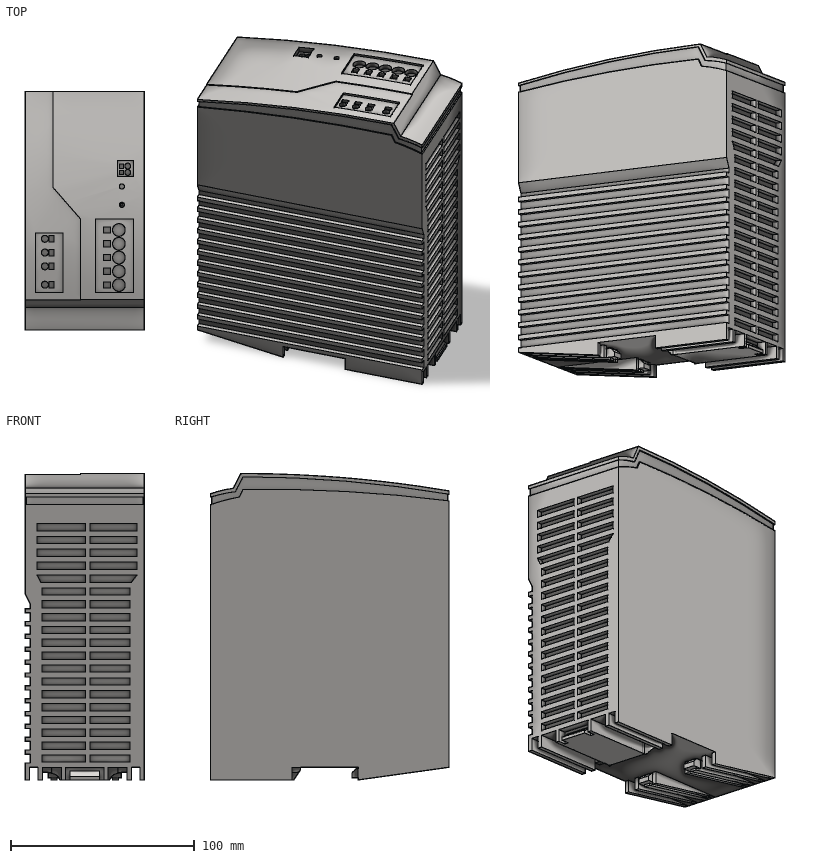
import cadquery as cq

width = 65.0
depth = 130.0
height = 167.0
front_y = -depth / 2
back_y = depth / 2
mid_x = width / 2
clearance = 10.0

crest_y = -48.4
crest_z = height
crown_back_z = 157.5
brow_y = -52.6
brow_z = 158.9
brow_front_z = 155.9
brow_bulge = 0.35
lid_middle_drop = 0.25

lid_thickness = 1.9
lid_inner_shift = 1.2
groove_inset = 0.7
case_crest_y = -47.2
case_crest_z = 158.3
case_back_z = 152.0
case_brow_y = -49.2
case_brow_z = 154.1
case_front_z = 149.9
case_middle_drop = 0.19

panel_drop = 0.5
panel_back_x = 15.1
panel_front_x = 30.1
panel_bend_back_y = 12.8
panel_bend_front_y = -4.4

fin_depth = 2.7
fin_count = 12
fin_pitch = 7.0
fin_thickness = 2.4
fin_base_z = 9.4
fin_zone_top_z = 96.0
fin_bevel_top_z = 101.4

vent_rows = 19
vent_wide_rows = 4
vent_pitch = 7.0
vent_height = 4.0
vent_bottom_z = 9.7
vent_depth = 3.5
vent_inner_left_x = 32.8
vent_inner_right_x = 35.3
vent_wide_left_x = 6.5
vent_wide_right_x = 61.0
vent_narrow_left_x = 9.3
vent_narrow_right_x = 57.2
vent_taper_left_x = 8.6
vent_taper_right_x = 57.9

foot_height = 6.9
rail_front_y = -20.5
rail_back_y = 15.4
foot_ribs = [(0.0, 2.5), (7.0, 9.5), (19.8, 22.0)]
second_rib_right_x = foot_ribs[1][1]
middle_rib_left_x, middle_rib_right_x = foot_ribs[2]
rear_rib = (14.0, 17.4)

rear_hook_left_x = 12.6
front_hook_left_x = 14.4
hook_right_x = middle_rib_left_x
front_hook_tip_y = -15.9
front_hook_tip_z = 5.6
front_hook_toe_y = -19.6
front_hook_face_y = -17.3
hook_fillet = 5.0
hook_plate_z = 4.2
rear_hook_tip_y = 12.1
rear_hook_bottom_z = 1.2
rear_hook_top_z = 6.2
rear_hook_chamfer = 2.3

tongue_left_x = 24.4
tongue_right_x = width - tongue_left_x
tongue_tip_z = 1.9
tongue_top_z = 5.0
tongue_bay_depth = 5.0
tongue_lip = 0.9
tongue_ramp = 3.6

terminal_front_y = -44.6
terminal_sink = 1.1
terminal_hole_depth = 2.5
output_block_x = (38.4, 59.1)
output_block_back_y = -4.6
output_first_y = -10.5
output_pitch = 7.5
output_count = 5
output_rows_y = [output_first_y - row * output_pitch for row in range(output_count)]
output_screw_x = 51.1
output_screw_diameter = 6.9
output_wire_x = 44.55
output_wire_size = (3.7, 3.4)
input_block_x = (5.6, 20.6)
input_block_back_y = -12.1
input_rows_y = [-15.3, -22.8, -30.3, -40.3]
input_screw_x = 10.8
input_screw_diameter = 3.8
input_wire_x = 14.4
input_wire_size = (2.6, 3.6)

signal_x = (50.2, 59.1)
signal_y = (18.7, 27.2)
signal_sink = 3.0
signal_rows_y = [20.8, 24.3]
signal_screw_x = 55.9
signal_screw_diameter = 3.2
signal_wire_x = 52.4
signal_wire_size = (2.2, 2.4)
dot_x = 52.7
dot_diameter = 2.8
dot_depth = 1.5
indicator_y = 13.2
trimmer_y = 3.2
trimmer_screw_diameter = 1.4
trimmer_screw_depth = 3.0


def box(x_range, y_range, z_range):
    size = [high - low for low, high in (x_range, y_range, z_range)]
    return cq.Workplane("XY").box(*size, centered=False).translate((x_range[0], y_range[0], z_range[0]))


def extrude_along_x(outline, x_range):
    """Move a closed YZ outline to the first X and extrude it to the second."""
    return outline.extrude(x_range[1] - x_range[0]).translate((x_range[0], 0, 0))


def yz_polygon(points, x_range):
    return extrude_along_x(cq.Workplane("YZ").polyline(points).close(), x_range)


def crown_middle(back, crest, middle_drop):
    """Middle point of a shallow arc, given its share of the fall from crest to back."""
    return ((back[0] + crest[0]) / 2, crest[1] - (crest[1] - back[1]) * middle_drop)


def under_crown(crest, back_z, brow, front_z, middle_drop):
    """Block from Z = foot_height up to a crowned top, over the whole footprint."""
    back = (back_y, back_z)
    front = (front_y, front_z)
    brow_middle = ((brow[0] + front_y) / 2, (brow[1] + front_z) / 2 + brow_bulge)
    outline = (
        cq.Workplane("YZ")
        .moveTo(front_y, foot_height)
        .lineTo(back_y, foot_height)
        .lineTo(*back)
        .threePointArc(crown_middle(back, crest, middle_drop), crest)
        .lineTo(*brow)
        .threePointArc(brow_middle, front)
        .close()
    )
    return extrude_along_x(outline, (0, width))


def above_crown(sink):
    """Space above the crown arc lowered by sink, level in front of the crest."""
    crest = (crest_y, crest_z - sink)
    back = (back_y, crown_back_z - sink)
    ceiling = crest_z + clearance
    outline = (
        cq.Workplane("YZ")
        .moveTo(*back)
        .threePointArc(crown_middle(back, crest, lid_middle_drop), crest)
        .lineTo(front_y, crest_z - sink)
        .lineTo(front_y, ceiling)
        .lineTo(back_y, ceiling)
        .close()
    )
    return extrude_along_x(outline, (0, width))


def column(sketch):
    """Upright prism of an XY outline, tall enough to pass through the lid."""
    return sketch.extrude(height + clearance)


def make_housing():
    case = under_crown(
        (case_crest_y, case_crest_z),
        case_back_z,
        (case_brow_y, case_brow_z),
        case_front_z,
        case_middle_drop,
    )
    lid = under_crown(
        (crest_y, crest_z),
        crown_back_z,
        (brow_y, brow_z),
        brow_front_z,
        lid_middle_drop,
    )
    lid_underside = under_crown(
        (crest_y + lid_inner_shift, crest_z - lid_thickness),
        crown_back_z - lid_thickness,
        (brow_y + lid_inner_shift, brow_z - lid_thickness),
        brow_front_z - lid_thickness,
        lid_middle_drop,
    )
    neck = lid.intersect(
        box(
            (groove_inset, width - groove_inset),
            (front_y + groove_inset, back_y - groove_inset),
            (0, height),
        )
    )
    return case.union(neck).union(lid.cut(lid_underside))


def make_panel_cut():
    outline = cq.Workplane("XY").polyline(
        [
            (0, back_y),
            (panel_back_x, back_y),
            (panel_back_x, panel_bend_back_y),
            (panel_front_x, panel_bend_front_y),
            (panel_front_x, front_y),
            (0, front_y),
        ]
    ).close()
    return column(outline).intersect(above_crown(panel_drop))


def make_fin_cuts():
    """Bevelled relief along the -X side, with the fins left standing in it."""
    relief = (
        cq.Workplane("XZ", origin=(0, back_y, 0))
        .polyline(
            [(0, fin_base_z), (fin_depth, fin_base_z), (fin_depth, fin_zone_top_z), (0, fin_bevel_top_z)]
        )
        .close()
        .extrude(depth)
    )
    for index in range(1, fin_count + 1):
        fin_top_z = fin_base_z + index * fin_pitch
        relief = relief.cut(box((0, fin_depth), (front_y, back_y), (fin_top_z - fin_thickness, fin_top_z)))
    return relief


def make_vent_cuts():
    """Rows of paired slots: wide ones on top, one tapered row, narrow ones below."""
    vents = cq.Workplane("XY")
    tapered_row = vent_rows - vent_wide_rows - 1
    wide_ends = (vent_wide_left_x, vent_wide_right_x)
    narrow_ends = (vent_narrow_left_x, vent_narrow_right_x)
    taper_ends = (vent_taper_left_x, vent_taper_right_x)
    for row in range(vent_rows):
        bottom_z = vent_bottom_z + row * vent_pitch
        top_z = bottom_z + vent_height
        if row < tapered_row:
            bottom_ends, top_ends = narrow_ends, narrow_ends
        elif row == tapered_row:
            bottom_ends, top_ends = taper_ends, wide_ends
        else:
            bottom_ends, top_ends = wide_ends, wide_ends
        for bottom_x, top_x, inner_x in zip(bottom_ends, top_ends, (vent_inner_left_x, vent_inner_right_x)):
            slot = (
                cq.Workplane("XZ", origin=(0, front_y, 0))
                .polyline([(bottom_x, bottom_z), (inner_x, bottom_z), (inner_x, top_z), (top_x, top_z)])
                .close()
                .extrude(-vent_depth)
            )
            vents = vents.add(slot)
    return vents.combine()


def make_left_feet():
    """Ribs and rail hooks of the left half."""
    rear_profile = [(rail_back_y, 0), (back_y, foot_height), (rail_back_y, foot_height)]
    feet = yz_polygon(rear_profile, rear_rib)
    for rib in foot_ribs:
        feet = feet.union(box(rib, (front_y, rail_front_y), (0, foot_height)))
        feet = feet.union(yz_polygon(rear_profile, rib))

    rear_hook = [
        (rail_back_y + rear_hook_chamfer, rear_hook_bottom_z),
        (rear_hook_tip_y, rear_hook_bottom_z),
        (rear_hook_tip_y, rear_hook_top_z - rear_hook_chamfer),
        (rear_hook_tip_y + rear_hook_chamfer, rear_hook_top_z),
        (rail_back_y + rear_hook_chamfer, rear_hook_top_z),
    ]
    feet = feet.union(yz_polygon(rear_hook, (rear_hook_left_x, hook_right_x)))

    hook_blank = yz_polygon(
        [
            (rail_front_y - hook_fillet, foot_height),
            (rail_front_y - hook_fillet, 0),
            (front_hook_toe_y, 0),
            (front_hook_tip_y, front_hook_tip_z),
            (front_hook_tip_y, foot_height),
        ],
        (second_rib_right_x, hook_right_x),
    )
    hook_plan = (
        cq.Workplane("XY")
        .moveTo(front_hook_left_x, front_hook_tip_y)
        .lineTo(front_hook_left_x, front_hook_face_y)
        .lineTo(hook_right_x - hook_fillet, front_hook_face_y)
        .radiusArc((hook_right_x, front_hook_face_y - hook_fillet), hook_fillet)
        .lineTo(hook_right_x, front_hook_tip_y)
        .close()
        .extrude(foot_height)
    )
    hook_plate = box(
        (second_rib_right_x, front_hook_left_x),
        (rail_front_y, front_hook_tip_y),
        (hook_plate_z, foot_height),
    )
    return feet.union(hook_blank.intersect(hook_plan.union(hook_plate)))


def make_release_tongue():
    """Lipped, ramped tongue in an open bay, backed by a solid block up to the rail."""
    bay_back_y = front_y + tongue_bay_depth
    backing = box(
        (middle_rib_right_x, width - middle_rib_right_x),
        (bay_back_y, rail_front_y),
        (0, foot_height),
    )
    ramp = [
        (front_y, 0),
        (front_y, tongue_tip_z),
        (front_y + tongue_lip, tongue_tip_z),
        (front_y + tongue_lip + tongue_ramp, tongue_top_z),
        (bay_back_y, tongue_top_z),
        (bay_back_y, 0),
    ]
    return backing.union(yz_polygon(ramp, (tongue_left_x, tongue_right_x)))


def make_connector_cut(x_range, y_range, sink, rows_y, screw, wire, hole_depth):
    """Sunk rectangle holding one round and one rectangular opening per row."""
    centre = (sum(x_range) / 2, sum(y_range) / 2)
    size = (x_range[1] - x_range[0], y_range[1] - y_range[0])
    screw_x, screw_diameter = screw
    wire_x, wire_size = wire
    window = column(cq.Workplane("XY").center(*centre).rect(*size))
    screws = column(cq.Workplane("XY").pushPoints([(screw_x, y) for y in rows_y]).circle(screw_diameter / 2))
    wires = column(cq.Workplane("XY").pushPoints([(wire_x, y) for y in rows_y]).rect(*wire_size))
    openings = screws.union(wires).intersect(above_crown(sink + hole_depth))
    return window.intersect(above_crown(sink)).union(openings)


def make_dot_cut(y, depth_below, diameter):
    round_column = column(cq.Workplane("XY").center(dot_x, y).circle(diameter / 2))
    return round_column.intersect(above_crown(depth_below))


left_feet = make_left_feet()
right_feet = left_feet.mirror("YZ", (mid_x, 0, 0))

output_block = make_connector_cut(
    output_block_x,
    (terminal_front_y, output_block_back_y),
    terminal_sink,
    output_rows_y,
    (output_screw_x, output_screw_diameter),
    (output_wire_x, output_wire_size),
    terminal_hole_depth,
)
input_block = make_connector_cut(
    input_block_x,
    (terminal_front_y, input_block_back_y),
    panel_drop + terminal_sink,
    input_rows_y,
    (input_screw_x, input_screw_diameter),
    (input_wire_x, input_wire_size),
    terminal_hole_depth,
)
signal_connector = make_connector_cut(
    signal_x,
    signal_y,
    signal_sink,
    signal_rows_y,
    (signal_screw_x, signal_screw_diameter),
    (signal_wire_x, signal_wire_size),
    terminal_hole_depth,
)
indicator = make_dot_cut(indicator_y, dot_depth, dot_diameter)
trimmer = make_dot_cut(trimmer_y, dot_depth, dot_diameter).union(
    make_dot_cut(trimmer_y, trimmer_screw_depth, trimmer_screw_diameter)
)

result = make_housing().union(left_feet).union(right_feet).union(make_release_tongue())
for cut in (
    make_panel_cut(),
    make_fin_cuts(),
    make_vent_cuts(),
    output_block,
    input_block,
    signal_connector,
    indicator,
    trimmer,
):
    result = result.cut(cut)